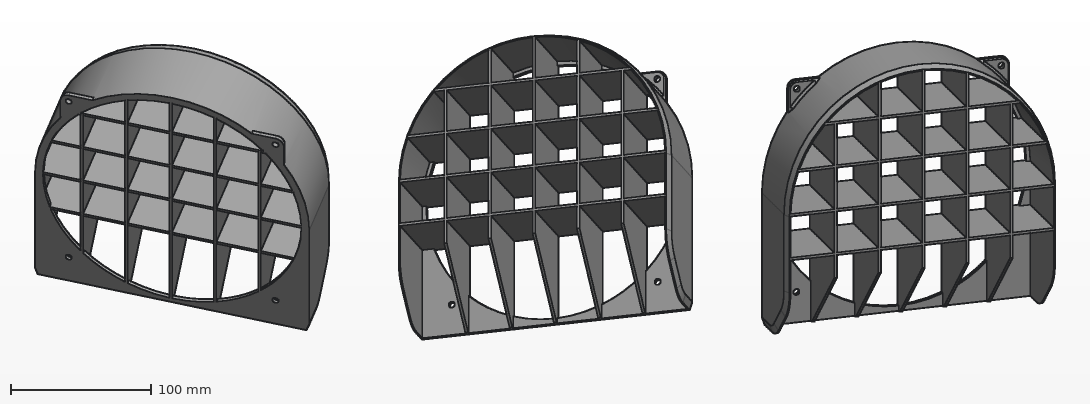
import cadquery as cq
import math

outer_radius = 102.0
depth = 55.0
center_height = 100.0
wall = 3.0
plate = 3.0
opening_radius = 96.0

slope_leg = 30.0
upper_bend = 30.0
lower_bend = 20.0

bevel_depth = 6.0
bevel_inset = 2.0

fin = 2.0
fin_pitch = 33.0
columns = 5
rows_above_center = 2
rows_below_center = 1
fin_slope_leg = 50.0

hole_diameter = 4.5
hole_offset = 77.0
tab_corner = 6.1
tab_edge = hole_offset + tab_corner
tab_thickness = 4.0
gusset_height = 6.0


def disc(radius, front, back):
    """Cylinder along Y about the center of the opening."""
    return cq.Workplane("XZ", origin=(0, front, center_height)).circle(radius).extrude(front - back)


def point_on(center, radius, degrees):
    angle = math.radians(degrees)
    return (center[0] + radius * math.cos(angle), center[1] + radius * math.sin(angle))


def side_profile(x, inset=0.0):
    """Side outline below the center, in the YZ plane at x, with its back and bottom moved in by inset."""
    upper_radius = upper_bend - inset
    lower_radius = lower_bend - inset
    bend_reach = math.tan(math.radians(22.5))
    upper_center = (depth - upper_bend, slope_leg + upper_bend * bend_reach)
    lower_center = (depth - slope_leg - lower_bend * bend_reach, lower_bend)
    return (
        cq.Workplane("YZ", origin=(x, 0, 0))
        .moveTo(0, center_height)
        .lineTo(depth - inset, center_height)
        .lineTo(*point_on(upper_center, upper_radius, 0))
        .threePointArc(point_on(upper_center, upper_radius, -22.5), point_on(upper_center, upper_radius, -45))
        .lineTo(*point_on(lower_center, lower_radius, -45))
        .threePointArc(point_on(lower_center, lower_radius, -67.5), point_on(lower_center, lower_radius, -90))
        .lineTo(0, inset)
        .close()
    )


def lower_envelope():
    """Straight-sided half: the side profile shrinks toward each side face, which forms the bevel."""
    flat_half_width = outer_radius - bevel_inset
    body = side_profile(-flat_half_width).extrude(2 * flat_half_width)
    for side in (-1, 1):
        full = side_profile(side * flat_half_width).val()
        reduced = side_profile(side * outer_radius, bevel_depth).val()
        body = body.union(cq.Workplane(cq.Solid.makeLoft([full, reduced], True)))
    return body


def upper_envelope():
    """Half-round top with a beveled back edge."""
    return (
        cq.Workplane("XY", origin=(0, 0, center_height))
        .lineTo(outer_radius, 0)
        .lineTo(outer_radius, depth - bevel_depth)
        .lineTo(outer_radius - bevel_inset, depth)
        .lineTo(0, depth)
        .close()
        .revolve(180, (0, 0, 0), (0, -1, 0))
    )


def cavity():
    """Arch-shaped space behind the front plate, open at the back and at the bottom."""
    radius = outer_radius - wall
    lower = cq.Workplane("XY").box(2 * radius, depth - plate, center_height, centered=(True, False, False))
    return disc(radius, plate, depth).union(lower.translate((0, plate, 0)))


def tabs():
    """Two upper corner tabs with beveled back edges and a conical gusset against the housing."""
    span = 2 * tab_edge
    square = (
        cq.Workplane("XZ", origin=(0, 0, center_height))
        .rect(span, span)
        .extrude(-gusset_height)
        .edges("|Y")
        .fillet(tab_corner)
        .faces(">Y")
        .chamfer(gusset_height - plate)
    )
    gusset_rise = gusset_height - tab_thickness
    gusset = cq.Solid.makeCone(
        outer_radius + gusset_rise,
        outer_radius,
        gusset_rise,
        cq.Vector(0, tab_thickness, center_height),
        cq.Vector(0, 1, 0),
    )
    layers = disc(2 * outer_radius, 0, tab_thickness).union(cq.Workplane(gusset))
    upper_half = (
        cq.Workplane("XY", origin=(0, 0, center_height))
        .box(span, depth, tab_edge, centered=(True, False, False))
    )
    return square.intersect(layers).intersect(upper_half).cut(disc(outer_radius - wall, 0, depth))


def fin_grid():
    """Crossed fins with a sloped lower back corner; the outermost columns stop at the top row."""
    top = center_height + outer_radius
    row_bottom = center_height
    top_row_face = row_bottom + rows_above_center * fin_pitch + fin
    last_column = columns - 1

    fins = cq.Workplane("XY")
    for column in range(columns):
        x = (column - last_column / 2) * fin_pitch - fin
        height = top_row_face if column in (0, last_column) else top
        fins = fins.union(cq.Workplane("XY", origin=(x, 0, 0)).box(fin, depth, height, centered=False))
    for row in range(-rows_below_center, rows_above_center + 1):
        z = row_bottom + row * fin_pitch
        blade = cq.Workplane("XY", origin=(0, 0, z))
        fins = fins.union(blade.box(2 * outer_radius, depth, fin, centered=(True, False, False)))

    side_outline = (
        cq.Workplane("YZ", origin=(-outer_radius, 0, 0))
        .lineTo(depth - fin_slope_leg, 0)
        .lineTo(depth, fin_slope_leg)
        .lineTo(depth, top)
        .lineTo(0, top)
        .close()
        .extrude(2 * outer_radius)
    )
    return fins.intersect(side_outline)


def mounting_holes():
    return (
        cq.Workplane("XZ", origin=(0, 0, center_height))
        .rect(2 * hole_offset, 2 * hole_offset, forConstruction=True)
        .vertices()
        .circle(hole_diameter / 2)
        .extrude(-gusset_height)
    )


envelope = lower_envelope().union(upper_envelope())
housing = envelope.cut(cavity()).union(tabs()).cut(disc(opening_radius, 0, plate))
result = housing.union(fin_grid().intersect(envelope)).cut(mounting_holes())